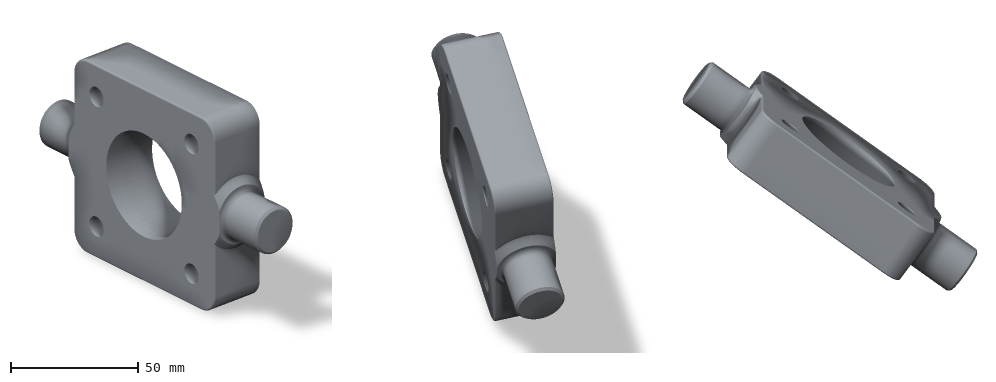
import cadquery as cq
import math

plate_side = 84.0
plate_thickness = 24.0
corner_radius = 8.0
plate_edge_radius = 0.8

bore_diameter = 45.0
bolt_hole_diameter = 8.5
bolt_circle_diameter = 80.0
bolt_hole_count = 4

trunnion_span = 130.0
trunnion_diameter = 20.0
trunnion_end_chamfer = 1.0
trunnion_axis_y = -0.5
collar_face_diameter = 25.0
collar_height = 3.0
root_fillet_radius = 1.6

half_side = plate_side / 2
half_thickness = plate_thickness / 2
half_span = trunnion_span / 2


def make_plate():
    """Rounded square plate with both face outlines rounded."""
    plate = cq.Workplane("XZ").rect(plate_side, plate_side).extrude(half_thickness, both=True)
    plate = plate.edges("|Y").fillet(corner_radius)
    return plate.faces("<Y or >Y").edges().fillet(plate_edge_radius)


def make_trunnion():
    """Pin and collar on the +X side, revolved about the trunnion axis."""
    pin_radius = trunnion_diameter / 2
    face_radius = collar_face_diameter / 2
    face_x = half_side + collar_height
    root_x = half_side - plate_edge_radius
    root_radius = face_radius + face_x - root_x

    fillet_centre_x = face_x + root_fillet_radius
    fillet_centre_r = pin_radius + root_fillet_radius
    diagonal = root_fillet_radius * math.sqrt(0.5)
    fillet_middle = (fillet_centre_x - diagonal, fillet_centre_r - diagonal)

    profile = (
        cq.Workplane("XY")
        .moveTo(root_x, 0)
        .lineTo(root_x, root_radius)
        .lineTo(face_x, face_radius)
        .lineTo(face_x, fillet_centre_r)
        .threePointArc(fillet_middle, (fillet_centre_x, pin_radius))
        .lineTo(half_span - trunnion_end_chamfer, pin_radius)
        .lineTo(half_span, pin_radius - trunnion_end_chamfer)
        .lineTo(half_span, 0)
        .close()
    )
    trunnion = profile.revolve(360, (0, 0, 0), (1, 0, 0)).translate((0, trunnion_axis_y, 0))

    trim_slab = cq.Workplane("XY").box(trunnion_span, plate_thickness, plate_side)
    return trunnion.intersect(trim_slab)


def make_holes():
    """Central bore and the bolt holes on their circle, as cutting cylinders."""
    bore = cq.Workplane("XZ").circle(bore_diameter / 2)
    first_hole_angle = 180 / bolt_hole_count
    bolt_holes = (
        cq.Workplane("XZ")
        .polarArray(bolt_circle_diameter / 2, first_hole_angle, 360, bolt_hole_count)
        .circle(bolt_hole_diameter / 2)
    )
    bore_cutter = bore.extrude(half_thickness, both=True)
    return bore_cutter.add(bolt_holes.extrude(half_thickness, both=True)).combine()


trunnion = make_trunnion()
result = make_plate().union(trunnion).union(trunnion.mirror("YZ")).cut(make_holes())